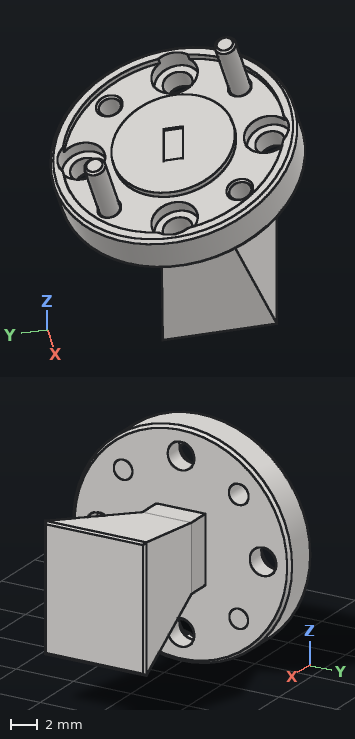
import cadquery as cq


total_length = 20.9
pin_projection = 4.65

flange_diameter = 19.05
flange_thickness = 3.28
flange_chamfer = 0.27
recess_outer_diameter = 17.2
boss_diameter = 9.53
recess_depth = 0.5

screw_offset = 7.15
screw_hole_diameter = 2.3
counterbore_diameter = 3.57
counterbore_depth = 1.55

diagonal_offset = 5.03
pin_diameter = 1.63
pin_chamfer = 0.19
pin_hole_chamfer = 0.1
alignment_hole_diameter = 1.71
alignment_hole_chamfer = 0.17

waveguide_width = 1.5
waveguide_height = 3.11
waveguide_depth = 0.2

neck_length = 2.09
neck_width = 4.26
neck_height = 5.79
mouth_width = 8.82
mouth_height = 10.8
mouth_chamfer = 0.19

horn_end = total_length - pin_projection
neck_end = flange_thickness + neck_length
mouth_start = horn_end - mouth_chamfer
screw_points = [(screw_offset, 0), (-screw_offset, 0), (0, screw_offset), (0, -screw_offset)]
pin_points = [(-diagonal_offset, diagonal_offset), (diagonal_offset, -diagonal_offset)]
alignment_points = [(diagonal_offset, diagonal_offset), (-diagonal_offset, -diagonal_offset)]


def plane_at(x):
    """YZ workplane at the given X; its local axes are Y and Z."""
    return cq.Workplane("YZ", origin=(x, 0, 0))


def make_flange():
    """Chamfered disc with a ring recess around the central boss."""
    disc = plane_at(0).circle(flange_diameter / 2).extrude(flange_thickness)
    disc = disc.edges().chamfer(flange_chamfer)
    ring = plane_at(0).circle(recess_outer_diameter / 2).circle(boss_diameter / 2).extrude(recess_depth)
    return disc.cut(ring)


def tapered_block(start, end, start_size, end_size):
    """Rectangular frustum along X between two (Y, Z) sizes."""
    return plane_at(start).rect(*start_size).workplane(offset=end - start).rect(*end_size).loft(ruled=True)


def make_horn():
    """Straight neck, flared horn and bevelled mouth edge."""
    neck_size = (neck_width, neck_height)
    mouth_size = (mouth_width, mouth_height)
    end_size = (mouth_width - 2 * mouth_chamfer, mouth_height - 2 * mouth_chamfer)
    neck = plane_at(flange_thickness).rect(*neck_size).extrude(neck_length)
    flare = tapered_block(neck_end, mouth_start, neck_size, mouth_size)
    mouth = tapered_block(mouth_start, horn_end, mouth_size, end_size)
    return neck.union(flare).union(mouth)


def cut_screw_holes(body):
    """Four through holes, counterbored from the pin side."""
    holes = plane_at(0).pushPoints(screw_points).circle(screw_hole_diameter / 2).extrude(flange_thickness)
    bores = plane_at(0).pushPoints(screw_points).circle(counterbore_diameter / 2).extrude(counterbore_depth)
    return body.cut(holes).cut(bores)


def cut_chamfered_holes(body, points, diameter, chamfer):
    """Through holes with a chamfered mouth at the recess floor."""
    floor = plane_at(recess_depth).pushPoints(points)
    holes = floor.circle(diameter / 2).extrude(flange_thickness - recess_depth)
    for y, z in points:
        cone = cq.Solid.makeCone(
            diameter / 2 + chamfer,
            diameter / 2,
            chamfer,
            pnt=cq.Vector(recess_depth, y, z),
            dir=cq.Vector(1, 0, 0),
        )
        holes = holes.union(cq.Workplane(cone))
    return body.cut(holes)


def cut_waveguide(body):
    """Shallow rectangular recess in the boss face."""
    return body.cut(plane_at(0).rect(waveguide_width, waveguide_height).extrude(waveguide_depth))


def make_horn_antenna():
    """Flange and horn as one body with all of its holes."""
    body = make_flange().union(make_horn())
    body = cut_screw_holes(body)
    body = cut_chamfered_holes(body, pin_points, pin_diameter, pin_hole_chamfer)
    body = cut_chamfered_holes(body, alignment_points, alignment_hole_diameter, alignment_hole_chamfer)
    return cut_waveguide(body)


def make_pin(y, z):
    """Dowel pin reaching from its chamfered tip to the horn-side face of the flange."""
    pin = cq.Workplane("YZ", origin=(-pin_projection, y, z)).circle(pin_diameter / 2)
    pin = pin.extrude(pin_projection + flange_thickness)
    return pin.faces("<X").chamfer(pin_chamfer)


horn_antenna = make_horn_antenna()
pins = [make_pin(y, z) for y, z in pin_points]

result = cq.Compound.makeCompound([horn_antenna.val(), *[pin.val() for pin in pins]])